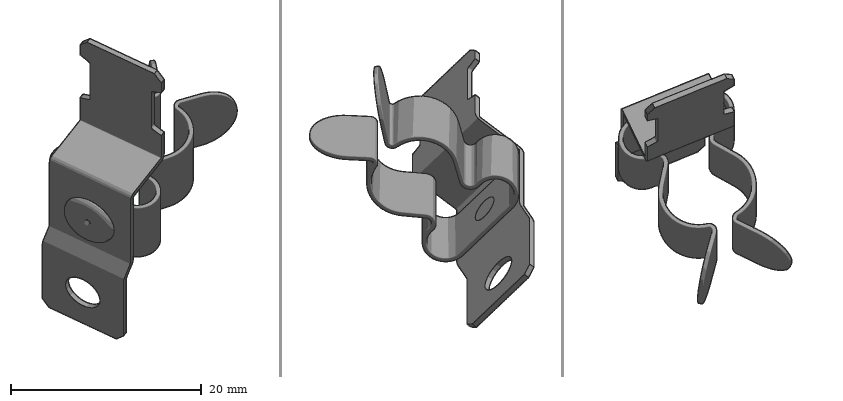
import cadquery as cq
import math


bracket_width = 10.0
bracket_thickness = 0.6
bracket_height = 35.4
tab_straight = 13.05
web_straight = 9.95
web_top = 6.0
shelf_offset = 6.2
shelf_bend_radius = 0.4
shelf_bend_angle = 89.0
foot_offset = 1.4
foot_bend_radius = 0.6
foot_bend_angle = 45.0
corner_length = 1.0
corner_width = 0.85
foot_hole_diameter = 4.2
foot_hole_height = 5.0

notch_depth = 1.2
notch_top_outer = 2.6
notch_top_inner = 3.1
notch_bottom_inner = 9.15
notch_bottom_outer = 9.52
notch_fillet = 0.3

clip_width = 7.93
clip_thickness = 0.5
clip_edge_rounding = 0.1
base_half = 3.93
loop_radius = 2.23
loop_overrun = 5.0
waist_radius = 0.95
jaw_lean = 35.0
jaw_straight = 2.45
jaw_radius = 3.95
neck_heading = 9.7
neck_radius = 0.55
arm_lean = 38.0
arm_length = 6.37

head_radius = 3.0
head_height = 0.78
shank_radius = 1.5
dimple_radius = 1.05


def move_along(position, heading, distance):
    """Point at a distance from a position in the given heading (degrees)."""
    angle = math.radians(heading)
    return (position[0] + distance * math.cos(angle), position[1] + distance * math.sin(angle))


def trace_strip(start, heading, moves):
    """Follow straight and bent moves along the middle of a strip.

    A move is (length, None) for a straight or (radius, angle) for a bend, with positive angles
    turning left. Returns the stations (position, heading), one more than the moves, and the
    middle of each bend, which is None for a straight.
    """
    stations = [(start, heading)]
    bend_middles = []
    for size, angle in moves:
        position, heading = stations[-1]
        if angle is None:
            bend_middles.append(None)
            stations.append((move_along(position, heading, size), heading))
            continue
        side = math.copysign(90, angle)
        center = move_along(position, heading + side, size)
        middle_heading = heading + angle / 2
        end_heading = heading + angle
        bend_middles.append((move_along(center, middle_heading - side, size), middle_heading))
        stations.append((move_along(center, end_heading - side, size), end_heading))
    return stations, bend_middles


def strip_outline(plane, thickness, start, heading, moves):
    """Closed outline of a constant-thickness strip that follows the moves."""
    stations, bend_middles = trace_strip(start, heading, moves)

    def beside(station, offset):
        position, direction = station
        return move_along(position, direction + 90, offset)

    left = thickness / 2
    right = -left
    outline = cq.Workplane(plane).moveTo(*beside(stations[0], left))
    for middle, end in zip(bend_middles, stations[1:]):
        if middle is None:
            outline = outline.lineTo(*beside(end, left))
        else:
            outline = outline.threePointArc(beside(middle, left), beside(end, left))
    outline = outline.lineTo(*beside(stations[-1], right))
    for middle, end in zip(reversed(bend_middles), reversed(stations[:-1])):
        if middle is None:
            outline = outline.lineTo(*beside(end, right))
        else:
            outline = outline.threePointArc(beside(middle, right), beside(end, right))
    return outline.close()


def jog_straight(offset, radius, angle):
    """Flat length between two equal, opposite bends that shift the sheet by the offset."""
    turn = math.radians(angle)
    return (offset - 2 * radius * (1 - math.cos(turn))) / math.sin(turn)


def jog_drop(offset, radius, angle):
    """Height that such a pair of bends takes up."""
    turn = math.radians(angle)
    return 2 * radius * math.sin(turn) + jog_straight(offset, radius, angle) * math.cos(turn)


shelf = (shelf_offset, shelf_bend_radius, shelf_bend_angle)
foot_jog = (foot_offset, foot_bend_radius, foot_bend_angle)
tab_top = web_top + jog_drop(*shelf) + tab_straight
foot_bottom = tab_top - bracket_height
foot_straight = web_top - web_straight - jog_drop(*foot_jog) - foot_bottom


def bracket_sheet():
    """Bent sheet: tab, shelf, web, sloped jog and foot, from top to bottom."""
    moves = [
        (tab_straight, None),
        (shelf_bend_radius, -shelf_bend_angle),
        (jog_straight(*shelf), None),
        (shelf_bend_radius, shelf_bend_angle),
        (web_straight, None),
        (foot_bend_radius, -foot_bend_angle),
        (jog_straight(*foot_jog), None),
        (foot_bend_radius, foot_bend_angle),
        (foot_straight, None),
    ]
    tab_start = (shelf_offset - bracket_thickness / 2, tab_top)
    outline = strip_outline("YZ", bracket_thickness, tab_start, -90, moves)
    return outline.extrude(bracket_width / 2, both=True)


def bracket_blank():
    """Outline of the bracket across its width, deep enough to trim the whole bent sheet."""
    edge = bracket_width / 2
    right_side = [
        (edge - corner_width, foot_bottom),
        (edge, foot_bottom + corner_length),
        (edge, tab_top - notch_bottom_outer),
        (edge - notch_depth, tab_top - notch_bottom_inner),
        (edge - notch_depth, tab_top - notch_top_inner),
        (edge, tab_top - notch_top_outer),
        (edge, tab_top - corner_length),
        (edge - corner_width, tab_top),
    ]
    left_side = [(-x, z) for x, z in reversed(right_side)]
    blank = cq.Workplane("XZ").polyline(right_side + left_side).close()
    blank = blank.extrude(shelf_offset + foot_offset + bracket_thickness, both=True)
    notch_corners = [
        (side * (edge - notch_depth), 0, tab_top - drop)
        for side in (-1, 1)
        for drop in (notch_top_inner, notch_bottom_inner)
    ]
    for corner in notch_corners:
        blank = blank.edges(cq.selectors.NearestToPointSelector(corner)).fillet(notch_fillet)
    return blank


def y_cylinder(radius, z, y_front, y_back):
    """Cylinder along Y, centred across the width, between two Y positions."""
    base = cq.Workplane("XZ", origin=(0, y_back, z))
    return base.circle(radius).extrude(y_back - y_front)


def make_bracket():
    """Trimmed bent sheet with the fixing hole in the foot and the rivet hole in the web."""
    foot_hole = y_cylinder(
        foot_hole_diameter / 2, foot_bottom + foot_hole_height, -foot_offset - 2 * bracket_thickness, 0
    )
    rivet_hole = y_cylinder(shank_radius, 0, -bracket_thickness, 0)
    return bracket_sheet().intersect(bracket_blank()).cut(foot_hole).cut(rivet_hole)


def clip_half():
    """Left half of the clip: base, loop, jaw, neck and round-ended arm."""
    loop_turn = 180 + loop_overrun
    jaw_heading = 90 + jaw_lean
    arm_heading = 90 + arm_lean
    tip_radius = clip_width / 2
    moves = [
        (base_half, None),
        (loop_radius, -loop_turn),
        (waist_radius, jaw_heading + loop_overrun),
        (jaw_straight, None),
        (jaw_radius, neck_heading - jaw_heading),
        (neck_radius, arm_heading - neck_heading),
        (arm_length - tip_radius, None),
    ]
    base_middle = (0, clip_thickness / 2)
    strip = strip_outline("XY", clip_thickness, base_middle, 180, moves)
    strip = strip.extrude(clip_width / 2, both=True)

    stations, _ = trace_strip(base_middle, 180, moves)
    tip_center, _ = stations[-1]
    face_normal = move_along((0, 0), arm_heading + 90, 1)
    arm_plane = cq.Plane(origin=(*tip_center, 0), xDir=(0, 0, 1), normal=(*face_normal, 0))
    tip = cq.Workplane(arm_plane).moveTo(tip_radius, 0)
    tip = tip.threePointArc((0, tip_radius), (-tip_radius, 0)).close()
    tip = tip.extrude(clip_thickness / 2, both=True)
    return strip.union(tip)


def make_clip():
    """Two mirrored halves joined at the base, with softened long edges and a rivet hole."""
    left_half = clip_half()
    rivet_hole = y_cylinder(shank_radius, 0, 0, clip_thickness)
    strip = left_half.union(left_half.mirror("YZ"))
    strip = strip.faces("|Z").edges().fillet(clip_edge_rounding)
    return strip.cut(rivet_hole)


def make_rivet():
    """Rounded head with a flared dimple, and a shank flush with the inside of the clip base."""
    head_back = -bracket_thickness
    head_front = head_back - head_height
    flat_radius = head_radius - head_height
    diagonal = math.sin(math.radians(45))
    dimple_middle = (dimple_radius * (1 - diagonal), head_front + dimple_radius * (1 - diagonal))
    rim_middle = (flat_radius + head_height * diagonal, head_back - head_height * diagonal)
    profile = (
        cq.Workplane("XY")
        .moveTo(0, head_front + dimple_radius)
        .threePointArc(dimple_middle, (dimple_radius, head_front))
        .lineTo(flat_radius, head_front)
        .threePointArc(rim_middle, (head_radius, head_back))
        .lineTo(shank_radius, head_back)
        .lineTo(shank_radius, clip_thickness)
        .lineTo(0, clip_thickness)
        .close()
    )
    return profile.revolve(360, (0, 0), (0, 1))


bracket = make_bracket().solids()
clip = make_clip().solids()
rivet = make_rivet()

result = cq.Compound.makeCompound([bracket.val(), clip.val(), rivet.val()])